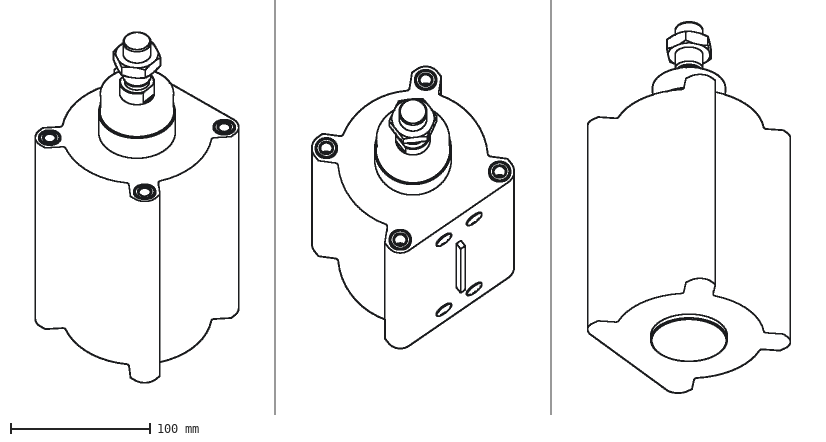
import cadquery as cq
import math

TOLERANCE = 0.03

BODY_BOTTOM = 4.0
BODY_TOP = 182.0
COLLAR_TOP = 202.3
CAP_TOP = 220.5
OVERALL_HEIGHT = 271.5

BODY_WIDTH = 110.0
HALF_WIDTH = BODY_WIDTH / 2
BARREL_DIAMETER = 108.0
LUG_SPACING = 89.0
LUG_OFFSET = LUG_SPACING / 2
LUG_RADIUS = HALF_WIDTH - LUG_OFFSET
LUG_FACE_END = 40.0
LUG_EDGE_RADIUS = 1.4
NOTCH_RADIUS = 2.2

HOLE_DIAMETER = 8.5
HOLE_RIM_DIAMETER = 10.0
HOLE_RIM_DEPTH = 0.5
HOLE_DEPTH = 16.3
CORE_DIAMETER = 6.8
CORE_DEPTH = 21.7
HEAD_TOP_DIAMETER = 13.5
HEAD_DIAMETER = 15.0
HEAD_CHAMFER_DEPTH = 0.5
GROOVE_DIAMETER = 15.7
GROOVE_DEPTH = 1.0

COLLAR_DIAMETER = 55.0
COLLAR_CHAMFER = 0.8
CAP_BOTTOM_DIAMETER = 53.2
CAP_WAIST_DIAMETER = 52.5
CAP_TOP_DIAMETER = 52.7
CAP_EDGE_RADIUS = 0.5

RAIL_WIDTH = 4.0
RAIL_PROJECTION = 5.2
RAIL_BOTTOM = 52.0
RAIL_TOP = 133.8
PORT_DIAMETER = 13.3
PORT_PROJECTION = 0.8
PORT_OFFSET = 13.5
PORT_HEIGHTS = (28.2, 158.3)

ROD_DIAMETER = 25.0
ROD_SHOULDER = 231.5
ROD_SHOULDER_CHAMFER = 0.5
FLATS_WIDTH = 22.0
FLATS_BOTTOM = 221.5
NECK_DIAMETER = 18.0
NECK_TOP = 234.5
THREAD_DIAMETER = 20.0
THREAD_BOTTOM = 236.7
THREAD_END_DIAMETER = 18.5
THREAD_CHAMFER_HEIGHT = 1.4

NUT_BOTTOM = 249.0
NUT_HEIGHT = 10.0
NUT_WIDTH = 30.0
NUT_CORNER_DIAMETER = NUT_WIDTH / math.cos(math.pi / 6)
NUT_CHAMFER_DIAMETER = 30.5
NUT_CHAMFER_ANGLE = math.radians(30)


def cylinder(diameter, bottom, top):
    return cq.Workplane("XY").workplane(offset=bottom).circle(diameter / 2).extrude(top - bottom)


def corner_lug(x_side, y_side):
    """Diagonal arm from the axis to one corner, with 45 degree flanks and a rounded tip."""
    arm = (
        cq.Workplane("XY")
        .workplane(offset=BODY_BOTTOM)
        .moveTo(0, 0)
        .lineTo(HALF_WIDTH - LUG_FACE_END, 0)
        .lineTo(HALF_WIDTH, LUG_FACE_END)
        .lineTo(HALF_WIDTH, LUG_OFFSET)
        .radiusArc((LUG_OFFSET, HALF_WIDTH), -LUG_RADIUS)
        .lineTo(LUG_FACE_END, HALF_WIDTH)
        .lineTo(0, HALF_WIDTH - LUG_FACE_END)
        .close()
        .extrude(BODY_TOP - BODY_BOTTOM)
    )
    if x_side < 0:
        arm = arm.mirror("YZ")
    if y_side < 0:
        arm = arm.mirror("XZ")
    return arm


def upright_edges_at(body, distance):
    """Edges parallel to the axis at a given distance from it."""
    def is_there(edge):
        center = edge.Center()
        return abs(math.hypot(center.x, center.y) - distance) < TOLERANCE

    return body.edges("|Z").filter(is_there)


def barrel():
    body = cylinder(BARREL_DIAMETER, BODY_BOTTOM, BODY_TOP)
    for x_side in (-1, 1):
        for y_side in (-1, 1):
            body = body.union(corner_lug(x_side, y_side))
    back = (
        cq.Workplane("XY")
        .box(LUG_SPACING, HALF_WIDTH - LUG_FACE_END, BODY_TOP - BODY_BOTTOM, centered=(True, False, False))
        .translate((0, LUG_FACE_END, BODY_BOTTOM))
    )
    body = body.union(back).clean()
    body = upright_edges_at(body, BARREL_DIAMETER / 2).fillet(NOTCH_RADIUS)
    return upright_edges_at(body, math.hypot(HALF_WIDTH, LUG_FACE_END)).fillet(LUG_EDGE_RADIUS)


def head_hole():
    """Blind hole with a chamfered mouth and a narrower core below its floor."""
    return (
        cq.Workplane("XZ")
        .moveTo(0, BODY_TOP - CORE_DEPTH)
        .lineTo(CORE_DIAMETER / 2, BODY_TOP - CORE_DEPTH)
        .lineTo(CORE_DIAMETER / 2, BODY_TOP - HOLE_DEPTH)
        .lineTo(HOLE_DIAMETER / 2, BODY_TOP - HOLE_DEPTH)
        .lineTo(HOLE_DIAMETER / 2, BODY_TOP - HOLE_RIM_DEPTH)
        .lineTo(HOLE_RIM_DIAMETER / 2, BODY_TOP)
        .lineTo(0, BODY_TOP)
        .close()
        .revolve()
    )


def head_groove():
    """Ring groove that sets off a flush, round head with a chamfered edge."""
    return (
        cq.Workplane("XZ")
        .moveTo(HEAD_TOP_DIAMETER / 2, BODY_TOP)
        .lineTo(HEAD_DIAMETER / 2, BODY_TOP - HEAD_CHAMFER_DEPTH)
        .lineTo(HEAD_DIAMETER / 2, BODY_TOP - GROOVE_DEPTH)
        .lineTo(GROOVE_DIAMETER / 2, BODY_TOP - GROOVE_DEPTH)
        .lineTo(GROOVE_DIAMETER / 2, BODY_TOP)
        .close()
        .revolve(360, (0, 0, 0), (0, 1, 0))
    )


def collar_and_cap():
    """Collar on the front face and, above it, a cap with a slightly waisted side."""
    collar = cylinder(COLLAR_DIAMETER, BODY_TOP, COLLAR_TOP).faces(">Z").chamfer(COLLAR_CHAMFER)
    cap = (
        cq.Workplane("XZ")
        .moveTo(0, COLLAR_TOP)
        .lineTo(CAP_BOTTOM_DIAMETER / 2, COLLAR_TOP)
        .threePointArc(
            (CAP_WAIST_DIAMETER / 2, (COLLAR_TOP + CAP_TOP) / 2),
            (CAP_TOP_DIAMETER / 2, CAP_TOP),
        )
        .lineTo(0, CAP_TOP)
        .close()
        .revolve()
    )
    return collar.union(cap.faces(">Z").edges().fillet(CAP_EDGE_RADIUS))


def base_boss():
    return cylinder(COLLAR_DIAMETER, 0, BODY_BOTTOM).faces("<Z").chamfer(COLLAR_CHAMFER)


def back_rail():
    return (
        cq.Workplane("XY")
        .box(RAIL_WIDTH, RAIL_PROJECTION, RAIL_TOP - RAIL_BOTTOM, centered=(True, False, False))
        .translate((0, HALF_WIDTH, RAIL_BOTTOM))
    )


def port_covers():
    places = [(side * PORT_OFFSET, height) for side in (-1, 1) for height in PORT_HEIGHTS]
    return (
        cq.Workplane("XZ", origin=(0, HALF_WIDTH, 0))
        .pushPoints(places)
        .circle(PORT_DIAMETER / 2)
        .extrude(-PORT_PROJECTION)
    )


def make_housing():
    housing = barrel()
    for addition in (base_boss(), collar_and_cap(), back_rail(), port_covers()):
        housing = housing.union(addition)
    for x_side in (-1, 1):
        for y_side in (-1, 1):
            place = (x_side * LUG_OFFSET, y_side * LUG_OFFSET, 0)
            housing = housing.cut(head_hole().translate(place))
            housing = housing.cut(head_groove().translate(place))
    return housing.cut(cylinder(ROD_DIAMETER, BODY_TOP, CAP_TOP))


def make_rod():
    """Rod seated in the collar bore, with two wrench flats, an undercut neck and a threaded end."""
    neck_radius = NECK_DIAMETER / 2
    thread_radius = THREAD_DIAMETER / 2
    rod = cylinder(ROD_DIAMETER, BODY_TOP, ROD_SHOULDER).faces(">Z").chamfer(ROD_SHOULDER_CHAMFER)
    threaded_end = (
        cq.Workplane("XZ")
        .moveTo(0, ROD_SHOULDER)
        .lineTo(neck_radius, ROD_SHOULDER)
        .lineTo(neck_radius, NECK_TOP)
        .lineTo(thread_radius, THREAD_BOTTOM)
        .lineTo(thread_radius, OVERALL_HEIGHT - THREAD_CHAMFER_HEIGHT)
        .lineTo(THREAD_END_DIAMETER / 2, OVERALL_HEIGHT)
        .lineTo(0, OVERALL_HEIGHT)
        .close()
        .revolve()
    )
    flat_depth = (ROD_DIAMETER - FLATS_WIDTH) / 2
    for side in (-1, 1):
        flat_cut = (
            cq.Workplane("XY")
            .box(flat_depth, ROD_DIAMETER, ROD_SHOULDER - FLATS_BOTTOM, centered=(True, True, False))
            .translate((side * (FLATS_WIDTH + flat_depth) / 2, 0, FLATS_BOTTOM))
        )
        rod = rod.cut(flat_cut)
    return rod.union(threaded_end)


def make_nut():
    """Hexagonal lock nut with corners along Y, both ends turned to a cone."""
    blank = (
        cq.Workplane("XY")
        .workplane(offset=NUT_BOTTOM)
        .transformed(rotate=(0, 0, 90))
        .polygon(6, NUT_CORNER_DIAMETER)
        .extrude(NUT_HEIGHT)
    )
    cone_run = (NUT_CORNER_DIAMETER - NUT_CHAMFER_DIAMETER) / 2
    cone_drop = cone_run * math.tan(NUT_CHAMFER_ANGLE)
    envelope = (
        cylinder(NUT_CORNER_DIAMETER, NUT_BOTTOM, NUT_BOTTOM + NUT_HEIGHT)
        .edges()
        .chamfer(cone_drop, cone_run)
    )
    bore = cylinder(THREAD_DIAMETER, NUT_BOTTOM, NUT_BOTTOM + NUT_HEIGHT)
    return blank.intersect(envelope).cut(bore)


housing = make_housing().solids()
rod = make_rod().solids()
nut = make_nut().solids()

result = cq.Compound.makeCompound([housing.val(), rod.val(), nut.val()])